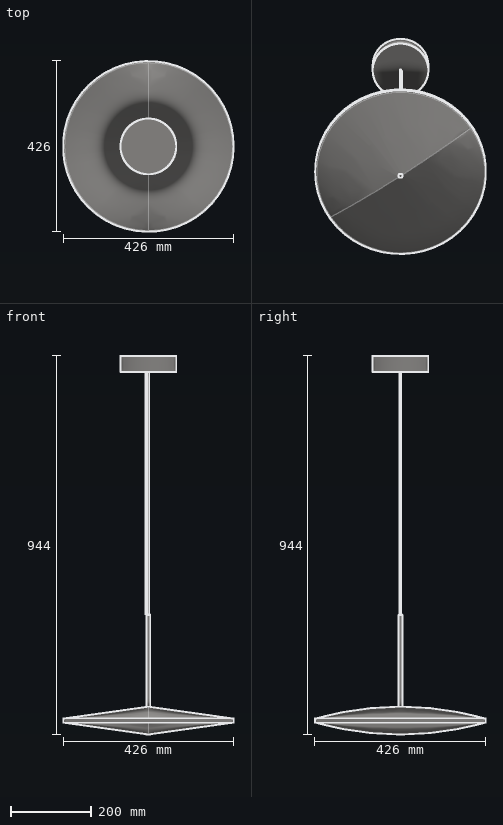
import cadquery as cq

TOTAL_HEIGHT = 944.0
SHADE_DIAMETER = 426.0
SHADE_RADIUS = SHADE_DIAMETER / 2

RIM_BOTTOM = 30.0
RIM_HEIGHT = 11.0
RIM_LEDGE = 4.0
DOME_RADIUS = SHADE_RADIUS - RIM_LEDGE
DOME_RISE = 29.0

ROD_DIAMETER = 10.0
ROD_TOP = 300.0
ROD_CHAMFER = 2.0

CANOPY_DIAMETER = 140.0
CANOPY_HEIGHT = 41.0
CANOPY_BOTTOM = TOTAL_HEIGHT - CANOPY_HEIGHT
CANOPY_CHAMFER = 1.0

CABLE_DIAMETER = 5.0
CABLE_CENTERS_X = (-CABLE_DIAMETER, 0)


def make_dome(base_z, direction):
    """Solid ruled from a circular rim to an arched ridge above the Y diameter."""
    front = cq.Vector(0, -DOME_RADIUS, base_z)
    back = cq.Vector(0, DOME_RADIUS, base_z)
    peak = cq.Vector(0, 0, base_z + direction * DOME_RISE)
    ridge = cq.Edge.makeThreePointArc(front, peak, back)
    sides = [cq.Vector(side * DOME_RADIUS, 0, base_z) for side in (-1, 1)]
    rims = [cq.Edge.makeThreePointArc(front, side, back) for side in sides]
    slopes = [cq.Face.makeRuledSurface(rim, ridge) for rim in rims]
    base = cq.Face.makeFromWires(cq.Wire.assembleEdges(rims))
    return cq.Solid.makeSolid(cq.Shell.makeShell([base, *slopes]))


def make_shade(rod):
    """Flat rim band closed by two slightly smaller domes, bored through for the rod."""
    rim_top = RIM_BOTTOM + RIM_HEIGHT
    rim = (
        cq.Workplane("XY")
        .workplane(offset=RIM_BOTTOM)
        .circle(SHADE_RADIUS)
        .extrude(RIM_HEIGHT)
        .cut(rod)
    )
    upper = make_dome(rim_top, 1).cut(rod.val())
    lower = make_dome(RIM_BOTTOM, -1).cut(rod.val())
    return rim.union(cq.Workplane(upper)).union(cq.Workplane(lower))


def make_rod():
    """Rod with a chamfered top, reaching through the shade to the lowest point."""
    return (
        cq.Workplane("XY")
        .circle(ROD_DIAMETER / 2)
        .extrude(ROD_TOP)
        .faces(">Z")
        .edges()
        .chamfer(ROD_CHAMFER)
    )


def make_canopy():
    """Ceiling disc with a small chamfer around its lower edge."""
    return (
        cq.Workplane("XY")
        .workplane(offset=CANOPY_BOTTOM)
        .circle(CANOPY_DIAMETER / 2)
        .extrude(CANOPY_HEIGHT)
        .faces("<Z")
        .edges()
        .chamfer(CANOPY_CHAMFER)
    )


def make_cable(center_x):
    """Straight round cable ending on the rod top and the canopy underside."""
    return (
        cq.Workplane("XY", origin=(center_x, 0, ROD_TOP))
        .circle(CABLE_DIAMETER / 2)
        .extrude(CANOPY_BOTTOM - ROD_TOP)
    )


rod = make_rod()
shade = make_shade(rod)
canopy = make_canopy()
cables = [make_cable(x) for x in CABLE_CENTERS_X]
lamp = shade.union(rod)

result = cq.Compound.makeCompound([lamp.val(), canopy.val(), *[cable.val() for cable in cables]])